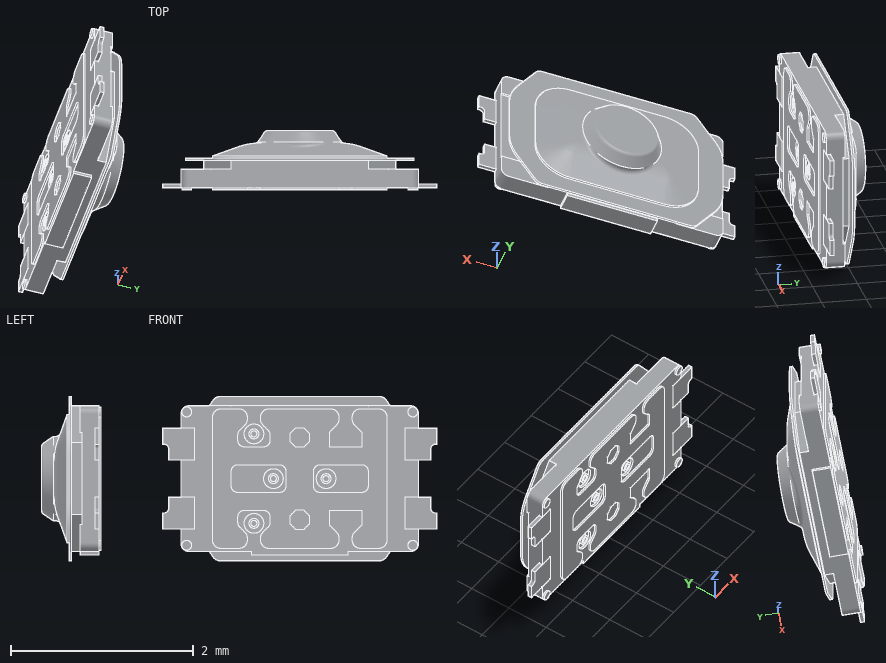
import cadquery as cq
FEET_DEPTH = 0.02
LEAD_THICKNESS = 0.045
BASE_FRONT = FEET_DEPTH
LEAD_BACK = BASE_FRONT + LEAD_THICKNESS
BASE_BACK = 0.228
PLINTH_BACK = 0.325
FILM_THICKNESS = 0.025
FLANGE_BACK = PLINTH_BACK + FILM_THICKNESS
DOME_WALL_BACK = FLANGE_BACK + FILM_THICKNESS
DOME_BACK = 0.513
BUTTON_STEM_BACK = 0.522
BUTTON_BACK = 0.65

PICK_MARGIN = 0.03

BASE_HALF_X = 1.3
BASE_HALF_Z = 0.798
BASE_CORNER_RADIUS = 0.09
TAB_WIDTH = 1.055
TAB_BOTTOM_Z = -0.837
END_NOTCH_WIDTH = 1.008
END_NOTCH_DEPTH = 0.02

PLINTH_HALF_X = 1.05
PLINTH_CHAMFER_X = 0.3
PLINTH_CHAMFER_Z = 0.405

FOOT_RADIUS = 0.055
FOOT_X = 1.235
FOOT_Z = 0.73

PAD_HALF_X = 0.955
PAD_HALF_Z = 0.762
PAD_CORNER_RADIUS = 0.09
KEYHOLE_X = 0.5
KEYHOLE_NECK_HALF = 0.072
KEYHOLE_HALF = 0.177
KEYHOLE_INNER_Z = 0.348
KEYHOLE_SHOULDER_Z = 0.507
POCKET_CORNER_RADIUS = 0.07
SLOT_INNER_X = 0.15
SLOT_OUTER_X = 0.75
SLOT_WIDTH = 0.3
DIMPLE_HALF = 0.105
DIMPLE_CHAMFER = 0.06
DIMPLE_Z = 0.45

PROBE_RECESS_RADIUS = 0.108
PROBE_BOSS_RADIUS = 0.055
PROBE_BORE_RADIUS = 0.033
PROBE_DEPTH = 0.027
PROBE_SLOT_X = 0.288
PROBE_KEYHOLE_Z = 0.49

LEAD_INNER_X = 1.15
LEAD_OUTER_X = 1.5
LEAD_TOP_Z = 0.552
LEAD_BOTTOM_Z = 0.2
LEAD_NOTCH_X = 1.435
LEAD_NOTCH_Z = 0.375
LEAD_NOTCH_FILLET = 0.05

FLANGE_HALF_X = 1.25
FLANGE_HALF_Z = 0.9
FLANGE_CHAMFER_X = 0.333
FLANGE_CHAMFER_Z = 0.475
FLANGE_LONG_SIDE_RADIUS = 0.1
FLANGE_SHORT_SIDE_RADIUS = 0.5

DOME_HALF_X = 0.955
DOME_HALF_Z = 0.702
DOME_CORNER_RADIUS = 0.405
DOME_RUN = 0.395
DOME_TOP_FILLET = 0.66
BUTTON_TOP_RADIUS = 0.375
BUTTON_STEM_RADIUS = 0.462
BUTTON_TOP_FILLET = 0.05
BUTTON_ROOT_FILLET = 0.05


def facing_front(back_y):
    """Workplane at back_y in X and Z whose extrusions run toward -Y."""
    return cq.Workplane("XZ", origin=(0, back_y, 0))


def facing_back(front_y):
    """Workplane at front_y (first axis Z, second axis X) whose extrusions run toward +Y."""
    return cq.Workplane("ZX", origin=(0, front_y, 0))


def octagon(back_y, half_x, half_z, chamfer_x, chamfer_z, middle_z=0):
    """Rectangle with four equal corner cuts, centred at middle_z."""
    quarter = [(half_x, half_z - chamfer_z), (half_x - chamfer_x, half_z)]
    right = [(x, -z) for x, z in reversed(quarter)] + quarter
    left = [(-x, -z) for x, z in right]
    return facing_front(back_y).center(0, middle_z).polyline(right + left).close()


def make_base_block():
    """Rounded block with a tab along its bottom, a shallow step at each end and the plinth on its back."""
    height = BASE_BACK - BASE_FRONT
    block = facing_front(BASE_BACK).rect(2 * BASE_HALF_X, 2 * BASE_HALF_Z).extrude(height)
    block = block.edges("|Y").fillet(BASE_CORNER_RADIUS)
    tab = (
        facing_front(BASE_BACK)
        .center(0, TAB_BOTTOM_Z / 2)
        .rect(TAB_WIDTH, -TAB_BOTTOM_Z)
        .extrude(height)
    )
    notches = facing_front(BASE_BACK).rect(2 * BASE_HALF_X, END_NOTCH_WIDTH).extrude(END_NOTCH_DEPTH)
    plinth = octagon(
        PLINTH_BACK, PLINTH_HALF_X, BASE_HALF_Z, PLINTH_CHAMFER_X, PLINTH_CHAMFER_Z
    ).extrude(PLINTH_BACK - BASE_BACK + END_NOTCH_DEPTH)
    return block.union(tab).cut(notches).union(plinth)


def make_keyhole(side_x, side_z):
    """Opening from the pad's Z edge: a narrow neck widening at 45 degrees to a pocket.

    Only the pockets on the -X side have rounded corners.
    """
    neck_z = KEYHOLE_SHOULDER_Z + KEYHOLE_HALF - KEYHOLE_NECK_HALF
    half = [
        (KEYHOLE_NECK_HALF, PAD_HALF_Z),
        (KEYHOLE_NECK_HALF, neck_z),
        (KEYHOLE_HALF, KEYHOLE_SHOULDER_Z),
        (KEYHOLE_HALF, KEYHOLE_INNER_Z),
    ]
    outline = half + [(-x, z) for x, z in reversed(half)]
    points = [(side_x * KEYHOLE_X + x, side_z * z) for x, z in outline]
    keyhole = facing_front(BASE_FRONT).polyline(points).close().extrude(FEET_DEPTH)
    if side_x < 0:
        pocket_corners = cq.selectors.BoxSelector(
            (-PAD_HALF_X, -PICK_MARGIN, side_z * (KEYHOLE_INNER_Z - PICK_MARGIN)),
            (0, BASE_FRONT, side_z * (KEYHOLE_SHOULDER_Z + PICK_MARGIN)),
        )
        keyhole = keyhole.edges("|Y").edges(pocket_corners).fillet(POCKET_CORNER_RADIUS)
    return keyhole


def make_pad():
    """Raised pad with its keyholes, slots and octagonal dimples open down to the base."""
    pad = facing_front(BASE_FRONT).rect(2 * PAD_HALF_X, 2 * PAD_HALF_Z).extrude(FEET_DEPTH)
    for side_x in (-1, 1):
        for side_z in (-1, 1):
            pad = pad.cut(make_keyhole(side_x, side_z))
    outer_edges = [
        cq.selectors.BoxSelector(
            (-PAD_HALF_X - PICK_MARGIN, -PICK_MARGIN, side_z * (KEYHOLE_SHOULDER_Z + PICK_MARGIN)),
            (PAD_HALF_X + PICK_MARGIN, BASE_FRONT, side_z * (PAD_HALF_Z + PICK_MARGIN)),
        )
        for side_z in (-1, 1)
    ]
    pad = pad.edges("|Y").edges(outer_edges[0] + outer_edges[1]).fillet(PAD_CORNER_RADIUS)
    slot_middle = (SLOT_INNER_X + SLOT_OUTER_X) / 2
    slots = (
        facing_front(BASE_FRONT)
        .pushPoints([(-slot_middle, 0), (slot_middle, 0)])
        .rect(SLOT_OUTER_X - SLOT_INNER_X, SLOT_WIDTH)
        .extrude(FEET_DEPTH)
        .edges("|Y")
        .fillet(POCKET_CORNER_RADIUS)
    )
    for side_z in (-1, 1):
        dimple = octagon(
            BASE_FRONT, DIMPLE_HALF, DIMPLE_HALF, DIMPLE_CHAMFER, DIMPLE_CHAMFER, side_z * DIMPLE_Z
        ).extrude(FEET_DEPTH)
        pad = pad.cut(dimple)
    return pad.cut(slots)


def make_feet():
    """Four round feet, one in each corner of the base."""
    return (
        facing_front(BASE_FRONT)
        .rect(2 * FOOT_X, 2 * FOOT_Z, forConstruction=True)
        .vertices()
        .circle(FOOT_RADIUS)
        .extrude(FEET_DEPTH)
    )


def make_probe_recesses():
    """Ring recesses around bosses that stay flush with the base front, each boss with a bore."""
    places = [
        (-PROBE_SLOT_X, 0),
        (PROBE_SLOT_X, 0),
        (-KEYHOLE_X, PROBE_KEYHOLE_Z),
        (-KEYHOLE_X, -PROBE_KEYHOLE_Z),
    ]
    floor = facing_front(BASE_FRONT + PROBE_DEPTH).pushPoints(places)
    recesses = floor.circle(PROBE_RECESS_RADIUS).extrude(PROBE_DEPTH + FEET_DEPTH)
    bosses = floor.circle(PROBE_BOSS_RADIUS).extrude(PROBE_DEPTH)
    bores = floor.circle(PROBE_BORE_RADIUS).extrude(PROBE_DEPTH)
    return recesses.cut(bosses).union(bores)


def make_lead(side_x, side_z):
    """Flat lead flush with the base front, with a filleted notch at its outer inward corner."""
    outline = [
        (LEAD_INNER_X, LEAD_BOTTOM_Z),
        (LEAD_NOTCH_X, LEAD_BOTTOM_Z),
        (LEAD_NOTCH_X, LEAD_NOTCH_Z),
        (LEAD_OUTER_X, LEAD_NOTCH_Z),
        (LEAD_OUTER_X, LEAD_TOP_Z),
        (LEAD_INNER_X, LEAD_TOP_Z),
    ]
    points = [(side_x * x, side_z * z) for x, z in outline]
    lead = facing_front(LEAD_BACK).polyline(points).close().extrude(LEAD_THICKNESS)
    notch = cq.selectors.NearestToPointSelector((side_x * LEAD_NOTCH_X, BASE_FRONT, side_z * LEAD_NOTCH_Z))
    return lead.edges("|Y").edges(notch).fillet(LEAD_NOTCH_FILLET)


def make_housing(leads):
    """Base with its pad and feet, and a matching seat for each lead."""
    housing = make_base_block().union(make_pad()).union(make_feet()).cut(make_probe_recesses())
    for lead in leads:
        housing = housing.cut(lead)
    return housing


def make_flange():
    """Thin octagonal sheet with rounded corners."""
    flange = octagon(
        FLANGE_BACK, FLANGE_HALF_X, FLANGE_HALF_Z, FLANGE_CHAMFER_X, FLANGE_CHAMFER_Z
    ).extrude(FILM_THICKNESS)
    long_side_corners = flange.faces("<Z or >Z").edges("|Y")
    flange = long_side_corners.fillet(FLANGE_LONG_SIDE_RADIUS)
    return flange.faces("<X or >X").edges("|Y").fillet(FLANGE_SHORT_SIDE_RADIUS)


def dome_outline(inset):
    """Rounded rectangle of the dome foot, moved inward by inset."""
    return (
        cq.Sketch()
        .rect(2 * (DOME_HALF_Z - inset), 2 * (DOME_HALF_X - inset))
        .vertices()
        .fillet(DOME_CORNER_RADIUS - inset)
    )


def make_dome():
    """Low upright wall, then sides sloping evenly to a broadly rounded top."""
    wall = facing_back(FLANGE_BACK).placeSketch(dome_outline(0)).extrude(FILM_THICKNESS)
    rise = cq.Location(cq.Vector(0, 0, DOME_BACK - DOME_WALL_BACK))
    slopes = (
        facing_back(DOME_WALL_BACK)
        .placeSketch(dome_outline(0), dome_outline(DOME_RUN).moved(rise))
        .loft(ruled=True)
    )
    return wall.union(slopes).faces(">Y").edges().fillet(DOME_TOP_FILLET)


def make_button():
    """Round stem rising out of the dome, topped by a cone with a rounded rim."""
    profile = [
        (DOME_WALL_BACK, 0),
        (DOME_WALL_BACK, -BUTTON_STEM_RADIUS),
        (BUTTON_STEM_BACK, -BUTTON_STEM_RADIUS),
        (BUTTON_BACK, -BUTTON_TOP_RADIUS),
        (BUTTON_BACK, 0),
    ]
    button = cq.Workplane("YZ").polyline(profile).close().revolve(360, (0, 0), (1, 0))
    return button.faces(">Y").edges().fillet(BUTTON_TOP_FILLET)


def make_film():
    """Flange, dome and button in one piece, with a fillet where the stem leaves the dome."""
    film = make_flange().union(make_dome()).union(make_button())
    stem = film.faces(cq.selectors.NearestToPointSelector((0, BUTTON_STEM_BACK, 0)))
    return stem.edges("not (|Y or >Y)").fillet(BUTTON_ROOT_FILLET)


film = make_film()
leads = [make_lead(side_x, side_z) for side_x in (-1, 1) for side_z in (-1, 1)]
housing = make_housing(leads)

result = cq.Compound.makeCompound([housing.val(), film.val(), *[lead.val() for lead in leads]])